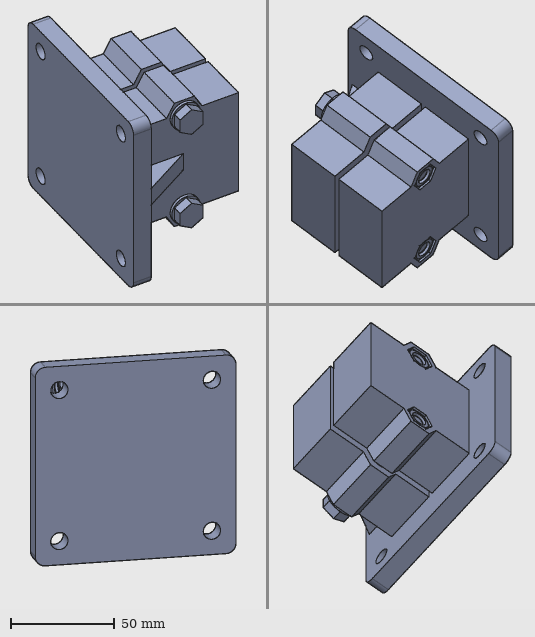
import cadquery as cq
import math

PLATE_SIZE = 100.0
PLATE_THICKNESS = 10.0
PLATE_CORNER_RADIUS = 5.0
MOUNT_HOLE_DIAMETER = 8.5
MOUNT_HOLE_OFFSET = 38.0

BLOCK_SIZE = 60.0
BLOCK_LENGTH = 61.0
SPLIT_GAP = 2.6

LUG_BASE_WIDTH = 20.0
LUG_HEIGHT = 7.6
LUG_FLANK_ANGLE = 60.0

RIB_HEIGHT = 30.0
RIB_ANGLE = 60.0
RIB_THICKNESS = 10.0

BOLT_Z = 28.5
BOLT_DIAMETER = 8.0
BOLT_TIP_DIAMETER = 6.6
BOLT_TIP_LENGTH = 0.7
BOLT_TIP_RECESS = 1.2
HEX_SIDES = 6
HEX_ACROSS_FLATS = 13.0
HEAD_HEIGHT = 5.3
WASHER_DIAMETER = 16.0
WASHER_THICKNESS = 1.6
NUT_POCKET_DEPTH = 1.2
NUT_FACE_DIAMETER = 11.4
NUT_SHOULDER_DIAMETER = 12.6
NUT_CHAMFER_ANGLE = 45.0

BLOCK_HALF = BLOCK_SIZE / 2
BOLT_Y = PLATE_THICKNESS + BLOCK_LENGTH / 2
HEX_ACROSS_CORNERS = HEX_ACROSS_FLATS / math.cos(math.pi / HEX_SIDES)
NUT_CHAMFER_WIDTH = (NUT_SHOULDER_DIAMETER - NUT_FACE_DIAMETER) / 2
NUT_CHAMFER_HEIGHT = NUT_CHAMFER_WIDTH * math.tan(math.radians(NUT_CHAMFER_ANGLE))
NUT_FACE_X = -BLOCK_HALF + NUT_POCKET_DEPTH - NUT_CHAMFER_HEIGHT
BOLT_TIP_X = NUT_FACE_X + BOLT_TIP_RECESS


def plane_across_x(x, z):
    """Plane facing +X at the bolt axis; its local x is Y and its local y is Z."""
    return cq.Workplane("YZ", origin=(x, BOLT_Y, z))


def disc(x, z, diameter, length):
    """Cylinder on the bolt axis, running in +X from x."""
    return plane_across_x(x, z).circle(diameter / 2).extrude(length)


def cone(x, z, start_diameter, end_diameter, length):
    """Frustum on the bolt axis, running in +X from x."""
    start = cq.Vector(x, BOLT_Y, z)
    frustum = cq.Solid.makeCone(start_diameter / 2, end_diameter / 2, length, start, cq.Vector(1, 0, 0))
    return cq.Workplane(frustum)


def make_plate():
    plate = cq.Workplane("XY").box(PLATE_SIZE, PLATE_THICKNESS, PLATE_SIZE)
    plate = plate.edges("|Y").fillet(PLATE_CORNER_RADIUS)
    plate = plate.faces("<Y").workplane()
    plate = plate.rect(2 * MOUNT_HOLE_OFFSET, 2 * MOUNT_HOLE_OFFSET, forConstruction=True)
    plate = plate.vertices().hole(MOUNT_HOLE_DIAMETER)
    return plate.translate((0, PLATE_THICKNESS / 2, 0))


def make_clamp():
    """Block with its two lugs, split down the middle as far as the plate."""
    base = LUG_BASE_WIDTH / 2
    top = base - LUG_HEIGHT / math.tan(math.radians(LUG_FLANK_ANGLE))
    lug_z = BLOCK_HALF + LUG_HEIGHT
    block = plane_across_x(-BLOCK_HALF, 0).rect(BLOCK_LENGTH, BLOCK_SIZE).extrude(BLOCK_SIZE)
    for side in (1, -1):
        corners = [(-base, 0), (-base, side * BLOCK_HALF), (-top, side * lug_z)]
        corners += [(-y, z) for y, z in reversed(corners)]
        block = block.union(plane_across_x(-BLOCK_HALF, 0).polyline(corners).close().extrude(BLOCK_SIZE))
    split = cq.Workplane("XY").box(SPLIT_GAP, BLOCK_LENGTH, 2 * lug_z).translate((0, BOLT_Y, 0))
    return block.cut(split)


def make_rib():
    foot = RIB_HEIGHT / math.tan(math.radians(RIB_ANGLE))
    outline = cq.Workplane("XY", origin=(BLOCK_HALF, PLATE_THICKNESS, -RIB_THICKNESS / 2))
    return outline.polyline([(0, 0), (foot, 0), (0, RIB_HEIGHT)]).close().extrude(RIB_THICKNESS)


def make_nut_pocket(z):
    """Space left free in front of the sunken nut and inside it, beyond the bolt tip."""
    pocket = plane_across_x(-BLOCK_HALF, z).polygon(HEX_SIDES, HEX_ACROSS_CORNERS).extrude(NUT_POCKET_DEPTH)
    nut_face = cone(NUT_FACE_X, z, NUT_FACE_DIAMETER, NUT_SHOULDER_DIAMETER, NUT_CHAMFER_HEIGHT)
    nut_bore = disc(NUT_FACE_X, z, BOLT_DIAMETER, BOLT_TIP_RECESS + BOLT_TIP_LENGTH)
    bolt_tip = cone(BOLT_TIP_X, z, BOLT_TIP_DIAMETER, BOLT_DIAMETER, BOLT_TIP_LENGTH)
    return pocket.cut(nut_face).union(nut_bore).cut(bolt_tip)


def make_bolt(z):
    """Shank, washer and hexagon head; the tip is shaped by the nut pocket."""
    shank = disc(BOLT_TIP_X, z, BOLT_DIAMETER, BLOCK_HALF - BOLT_TIP_X)
    washer = disc(BLOCK_HALF, z, WASHER_DIAMETER, WASHER_THICKNESS)
    head = plane_across_x(BLOCK_HALF + WASHER_THICKNESS, z)
    head = head.transformed(rotate=(0, 0, 90)).polygon(HEX_SIDES, HEX_ACROSS_CORNERS).extrude(HEAD_HEIGHT)
    return shank.union(washer).union(head)


result = make_plate().union(make_clamp()).union(make_rib())
for bolt_z in (BOLT_Z, -BOLT_Z):
    result = result.union(make_bolt(bolt_z)).cut(make_nut_pocket(bolt_z))